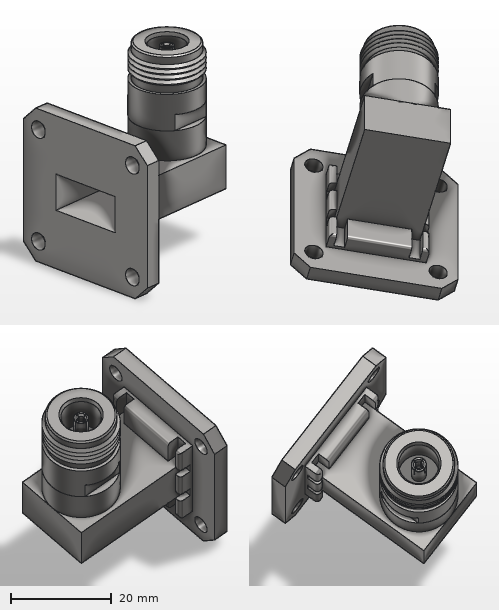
import cadquery as cq


CAVITY_WIDTH = 15.8
CAVITY_HEIGHT = 7.9
WALL = 0.85
GUIDE_LENGTH = 31.75
GUIDE_WIDTH = CAVITY_WIDTH + 2 * WALL
GUIDE_HEIGHT = CAVITY_HEIGHT + 2 * WALL

PLATE_SIZE = 33.35
PLATE_THICKNESS = 3.35
PLATE_CORNER = 3.3
BOLT_HOLE_DIAMETER = 3.65
BOLT_SPACING_X = 25.27
BOLT_SPACING_Z = 24.35
BOSS_SIZE = 20.35
BOSS_HEIGHT = 3.3
BOSS_EDGE_RADIUS = 0.85
BOSS_BACK = PLATE_THICKNESS + BOSS_HEIGHT

SLOT_DEPTH = 2.65
UPRIGHT_SLOT_WIDTH = 2.2
LEVEL_SLOT_WIDTH = 2.05

OVERALL_HEIGHT = 44.05
CONNECTOR_DIAMETER = 15.6
AXIS_Y = GUIDE_LENGTH - CONNECTOR_DIAMETER / 2
TOP = OVERALL_HEIGHT - PLATE_SIZE / 2
STUB_TOP = 11.25
SHOULDER = 19.25
FLAT_TOP = 14.75
FLAT_DISTANCE = 6.3
NECK_DIAMETER = 14.2
RIM_CHAMFER = 0.35

RIDGE_COUNT = 4
RIDGE_PITCH = 1.15
RIDGE_HALF_WIDTH = RIDGE_PITCH / 2
LOWEST_RIDGE = 21.45
RIDGE_OVERLAP = 0.45

BORE_DIAMETER = 8.0
BORE_MOUTH_DIAMETER = 8.75
BORE_MOUTH_DEPTH = 0.75
BORE_FLOOR = SHOULDER

PIN_DIAMETER = 3.0
PIN_TIP_DIAMETER = 2.8
PIN_TOP = 26.5
PIN_TIP_HEIGHT = 0.15
SOCKET_MOUTH_DIAMETER = 2.1
SOCKET_DIAMETER = 1.35
SOCKET_MOUTH_DEPTH = 0.5
SOCKET_DEPTH = 3.52
SOCKET_POINT_DEPTH = 0.35
SLIT_WIDTH = 0.1
SLIT_DEPTH = 3.1


def block(width, height, y_front, y_back):
    """Box centred on the waveguide axis between two Y planes."""
    return cq.Workplane("XY").box(width, y_back - y_front, height).translate((0, (y_front + y_back) / 2, 0))


def connector_cylinder(diameter, bottom, top):
    """Upright cylinder on the connector axis."""
    return cq.Workplane("XY", origin=(0, AXIS_Y, bottom)).circle(diameter / 2).extrude(top - bottom)


def revolve_on_connector_axis(points):
    """Solid of revolution from (radius, Z) points around the connector axis."""
    profile = cq.Workplane("XZ", origin=(0, AXIS_Y, 0)).polyline(points).close()
    return profile.revolve(360, (0, 0, 0), (0, 1, 0))


def make_plate():
    plate = block(PLATE_SIZE, PLATE_SIZE, 0, PLATE_THICKNESS).edges("|Y").chamfer(PLATE_CORNER)
    holes = (
        cq.Workplane("XZ")
        .rect(BOLT_SPACING_X, BOLT_SPACING_Z, forConstruction=True)
        .vertices()
        .circle(BOLT_HOLE_DIAMETER / 2)
        .extrude(-PLATE_THICKNESS)
    )
    return plate.cut(holes)


def make_boss():
    boss = block(BOSS_SIZE, BOSS_SIZE, PLATE_THICKNESS, BOSS_BACK)
    boss = boss.faces(">Y").edges().fillet(BOSS_EDGE_RADIUS)
    slot_y = BOSS_BACK - SLOT_DEPTH
    upright_slot = block(UPRIGHT_SLOT_WIDTH, BOSS_SIZE, slot_y, BOSS_BACK)
    level_slot = block(BOSS_SIZE, LEVEL_SLOT_WIDTH, slot_y, BOSS_BACK)
    upright_offset = (GUIDE_WIDTH - UPRIGHT_SLOT_WIDTH) / 2
    level_offset = (GUIDE_HEIGHT - LEVEL_SLOT_WIDTH) / 2
    for side in (-1, 1):
        boss = boss.cut(upright_slot.translate((side * upright_offset, 0, 0)))
        boss = boss.cut(level_slot.translate((0, 0, side * level_offset)))
    return boss


def make_waveguide():
    """Flange, rectangular waveguide and connector stub in one piece."""
    tube = block(GUIDE_WIDTH, GUIDE_HEIGHT, 0, GUIDE_LENGTH)
    stub = connector_cylinder(CONNECTOR_DIAMETER, GUIDE_HEIGHT / 2, STUB_TOP)
    cavity = block(CAVITY_WIDTH, CAVITY_HEIGHT, 0, GUIDE_LENGTH - WALL)
    return make_plate().union(make_boss()).union(tube).union(stub).cut(cavity)


def make_thread_ridge(level):
    """V-shaped ring with its crest at the given level."""
    root = NECK_DIAMETER / 2
    return revolve_on_connector_axis([
        (root - RIDGE_OVERLAP, level - RIDGE_HALF_WIDTH),
        (root, level - RIDGE_HALF_WIDTH),
        (CONNECTOR_DIAMETER / 2, level),
        (root, level + RIDGE_HALF_WIDTH),
        (root - RIDGE_OVERLAP, level + RIDGE_HALF_WIDTH),
    ])


def make_connector():
    """Threaded connector shell with two wrench flats and a blind bore."""
    base = connector_cylinder(CONNECTOR_DIAMETER, STUB_TOP, SHOULDER)
    flat_depth = CONNECTOR_DIAMETER / 2 - FLAT_DISTANCE
    flat_height = FLAT_TOP - STUB_TOP
    for side in (-1, 1):
        flat = cq.Workplane("XY").box(flat_depth, CONNECTOR_DIAMETER, flat_height)
        base = base.cut(flat.translate((
            side * (FLAT_DISTANCE + flat_depth / 2), AXIS_Y, STUB_TOP + flat_height / 2,
        )))

    neck = connector_cylinder(NECK_DIAMETER, SHOULDER, TOP).faces(">Z").edges().chamfer(RIM_CHAMFER)
    shell = base.union(neck)
    for index in range(RIDGE_COUNT):
        shell = shell.union(make_thread_ridge(LOWEST_RIDGE + index * RIDGE_PITCH))

    bore = revolve_on_connector_axis([
        (0, BORE_FLOOR),
        (BORE_DIAMETER / 2, BORE_FLOOR),
        (BORE_DIAMETER / 2, TOP - BORE_MOUTH_DEPTH),
        (BORE_MOUTH_DIAMETER / 2, TOP),
        (0, TOP),
    ])
    return shell.cut(bore)


def make_pin():
    """Slit socket pin standing on the bore floor."""
    pin = revolve_on_connector_axis([
        (0, BORE_FLOOR),
        (PIN_DIAMETER / 2, BORE_FLOOR),
        (PIN_DIAMETER / 2, PIN_TOP - PIN_TIP_HEIGHT),
        (PIN_TIP_DIAMETER / 2, PIN_TOP),
        (SOCKET_MOUTH_DIAMETER / 2, PIN_TOP),
        (SOCKET_DIAMETER / 2, PIN_TOP - SOCKET_MOUTH_DEPTH),
        (SOCKET_DIAMETER / 2, PIN_TOP - SOCKET_DEPTH),
        (0, PIN_TOP - SOCKET_DEPTH - SOCKET_POINT_DEPTH),
    ])
    slit = cq.Workplane("XY").box(PIN_DIAMETER, SLIT_WIDTH, SLIT_DEPTH)
    for angle in (0, 90):
        turned_slit = slit.rotate((0, 0, 0), (0, 0, 1), angle)
        pin = pin.cut(turned_slit.translate((0, AXIS_Y, PIN_TOP - SLIT_DEPTH / 2)))
    return pin


waveguide = make_waveguide()
connector = make_connector()
pin = make_pin()

result = cq.Compound.makeCompound([waveguide.val(), connector.val(), pin.val()])